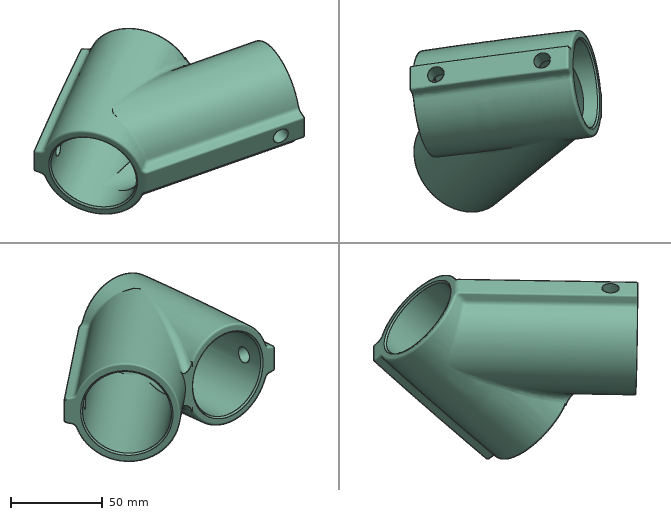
import cadquery as cq
import math

main_length = 91.0
barrel_radius = 29.8
barrel_bulge = 0.4

branch_angle = 45
branch_radius = 29.4
branch_start = 19.0
branch_length = 107.1

bore_radius = 24.5
bore_chamfer = 1.0

lug_reach = 34.5
lug_tip_half = 7.1
lug_root_half = 8.9
lug_root_reach = 24.9
screw_radius = 4.63
screw_inset = 15.0

lug_root_fillet = 3.4
junction_fillet = 4.0
corner_fillet = 4.0
edge_fillet = 1.2
mouth_fillet = 1.0
rim_end = 25.4
rim_depth = 1.6

half_length = main_length / 2
arc_radius = (half_length**2 + barrel_bulge**2) / (2 * barrel_bulge)
overrun = 10.7
clearance = 134.3

between = cq.selectors.BoxSelector


def on_branch(shape):
    """Move a shape built along +Y from the origin onto the branch axis."""
    return shape.rotate((0, 0, 0), (0, 0, 1), -branch_angle).translate((0, branch_start, 0))


def bulged_half_section(mid_reach):
    """Half profile of the overlong main tube, from its axis to the bulged edge."""
    span = half_length + overrun
    end_reach = mid_reach - arc_radius + math.sqrt(arc_radius**2 - span**2)
    return (
        cq.Workplane("XY")
        .moveTo(0, -overrun)
        .lineTo(-end_reach, -overrun)
        .threePointArc((-mid_reach, half_length), (-end_reach, main_length + overrun))
        .lineTo(0, main_length + overrun)
        .close()
    )


def lug(start, end):
    """Tapered lug on the -X side of an axis along +Y."""
    return (
        cq.Workplane("XZ", origin=(0, start, 0))
        .polyline([
            (-lug_root_reach, -lug_root_half),
            (-lug_reach, -lug_tip_half),
            (-lug_reach, lug_tip_half),
            (-lug_root_reach, lug_root_half),
        ])
        .close()
        .extrude(start - end)
    )


def blended_tubes(barrel, branch_tube):
    """Main tube joined to the branch with a rounded crotch."""
    crotch_loop = between((6.7, 26.9, -6.7), (26.9, 80.6, 6.7))
    return barrel.union(branch_tube).edges(crotch_loop).fillet(junction_fillet)


def add_branch_lug(body):
    body = body.union(on_branch(lug(0, branch_length).mirror("YZ")))
    low, high = 7.4, 8.7
    upper_root = between((26.9, -2.7, low), (80.6, 53.7, high))
    lower_root = between((26.9, -2.7, -high), (80.6, 53.7, -low))
    return body.edges(upper_root + lower_root).fillet(lug_root_fillet)


def add_main_lug(body):
    envelope = bulged_half_section(lug_reach).extrude(clearance, both=True)
    main_lug = lug(-overrun, main_length + overrun).intersect(envelope)
    roots = between((-30.2, 40.3, -10.7), (-26.9, 49.7, 10.7))
    return body.union(main_lug).edges(roots).fillet(lug_root_fillet)


def trim_main_ends(body, branch_tube):
    """Cut the main tube square at both ends without touching the branch."""
    front = cq.Workplane("XY").box(clearance, 2 * overrun, clearance).translate((0, -overrun, 0))
    rear = front.translate((0, main_length + 2 * overrun, 0)).cut(branch_tube)
    return body.cut(front).cut(rear)


def round_main_lug_tips(body):
    tips = between((-34.9, 26.9, -10.7), (-33.6, 80.6, 10.7))
    return body.edges(tips).fillet(edge_fillet)


def round_branch_edges(body):
    front_corner = between((29.5, -0.1, -1.3), (30.9, 0.1, 1.3))
    mouth_face = cq.selectors.DirectionMinMaxSelector(cq.Vector(1, 1, 0))
    lug_tips = between((63.1, 33.6, -10.7), (67.2, 37.6, 10.7))

    body = body.edges(front_corner).fillet(corner_fillet)
    body = body.faces(mouth_face).edges().fillet(mouth_fillet)
    body = round_main_lug_tips(body)
    return body.edges(lug_tips).fillet(edge_fillet)


def round_rear_rim(body, barrel, branch_tube):
    """Swap the rear rim, up to the crotch blend, for that of a plain rounded main tube."""
    rim_zone = (
        cq.Workplane("XY")
        .box(clearance, clearance, clearance)
        .translate((rim_end - clearance / 2, main_length - rim_depth + clearance / 2, 0))
    )
    plain = trim_main_ends(add_main_lug(barrel), branch_tube)
    plain = round_main_lug_tips(plain).faces(">Y").edges().fillet(edge_fillet)
    return body.cut(rim_zone).union(plain.intersect(rim_zone))


def bore(length):
    return cq.Workplane("XZ").circle(bore_radius).extrude(-length)


def mouth_chamfer(length):
    """Cone that widens a bore at its far end."""
    wide = bore_radius + bore_chamfer
    return (
        cq.Workplane("XY")
        .moveTo(0, length - wide)
        .lineTo(wide, length)
        .lineTo(0, length)
        .close()
        .revolve(360, (0, 0), (0, 1))
    )


def screw_hole(position, side):
    """Hole from a tube axis out through the lug on the given side."""
    return (
        cq.Workplane("YZ", origin=(0, position, 0))
        .circle(screw_radius)
        .extrude(side * (lug_reach + 1.3))
    )


branch_tube = on_branch(cq.Workplane("XZ").circle(branch_radius).extrude(-branch_length))
barrel = bulged_half_section(barrel_radius).revolve(360, (0, 0), (0, 1))

body = blended_tubes(barrel, branch_tube)
body = add_branch_lug(body)
body = add_main_lug(body)
body = trim_main_ends(body, branch_tube)
body = round_branch_edges(body)
body = round_rear_rim(body, barrel, branch_tube)

rear_chamfer = mouth_chamfer(main_length)
body = body.cut(bore(main_length))
body = body.cut(on_branch(bore(branch_length)))
body = body.cut(rear_chamfer).cut(rear_chamfer.mirror("XZ").translate((0, main_length, 0)))
body = body.cut(on_branch(mouth_chamfer(branch_length)))

for position in (screw_inset, main_length - screw_inset):
    body = body.cut(screw_hole(position, -1))
body = body.cut(on_branch(screw_hole(branch_length - screw_inset, 1)))

result = body